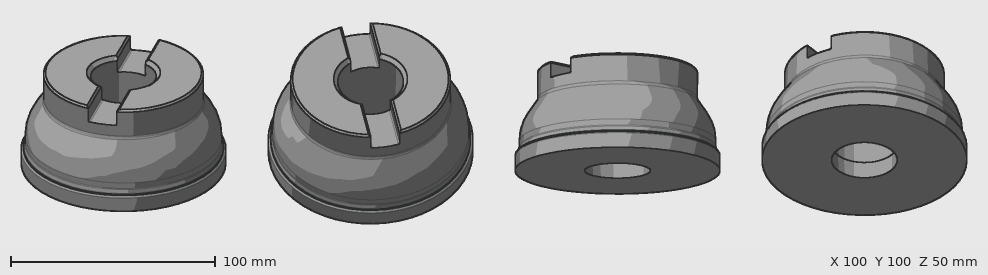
import cadquery as cq
import math

overall_height = 50.0
bore_diameter = 32.0

ring_radius = 50.0
ring_height = 8.8
collar_radius = 48.8
shoulder_height = 8.2
shoulder_round = 0.8

flare_bottom = 9.4
flare_bottom_radius = 48.6
flare_top = 11.2
flare_top_radius = 48.1

skirt_radius = 48.0
skirt_bottom = 11.8
skirt_top = 14.8
dome_middle = 26.4
dome_middle_radius = 44.8
dome_top = 34.2
dome_top_angle = math.radians(32)
neck_radius = 39.0
neck_bottom = 36.0
neck_chamfer = 1.0

slot_width = 14.2
slot_depth = 8.3
slot_corner_radius = 0.7
slot_chamfer = 1.0
bore_mouth_diameter = 36.0
bore_mouth_depth = 2.0


def make_ring():
    """Ring under the housing: rounded shoulder, collar and through bore."""
    bore_radius = bore_diameter / 2
    return (
        cq.Workplane("XZ")
        .moveTo(bore_radius, 0)
        .lineTo(ring_radius, 0)
        .lineTo(ring_radius, shoulder_height - shoulder_round)
        .tangentArcPoint((ring_radius - shoulder_round, shoulder_height), relative=False)
        .lineTo(collar_radius, shoulder_height)
        .lineTo(collar_radius, ring_height)
        .lineTo(bore_radius, ring_height)
        .close()
        .revolve(360, (0, 0), (0, 1))
    )


def make_housing_blank():
    """Solid turned shape of the housing, from the ring to the top face."""
    neck_fillet_radius = (neck_bottom - dome_top) / math.sin(dome_top_angle)
    dome_top_radius = neck_radius + neck_fillet_radius * (1 - math.cos(dome_top_angle))
    dome_top_direction = (-math.sin(dome_top_angle), math.cos(dome_top_angle))
    return (
        cq.Workplane("XZ")
        .moveTo(0, ring_height)
        .lineTo(collar_radius, ring_height)
        .lineTo(flare_bottom_radius, flare_bottom)
        .lineTo(flare_top_radius, flare_top)
        .lineTo(skirt_radius, skirt_bottom)
        .lineTo(skirt_radius, skirt_top)
        .spline(
            [(dome_middle_radius, dome_middle), (dome_top_radius, dome_top)],
            tangents=[(0, 1), dome_top_direction],
            includeCurrent=True,
        )
        .tangentArcPoint((neck_radius, neck_bottom), relative=False)
        .lineTo(neck_radius, overall_height - neck_chamfer)
        .lineTo(neck_radius - neck_chamfer, overall_height)
        .lineTo(0, overall_height)
        .close()
        .revolve(360, (0, 0), (0, 1))
    )


def make_bore():
    """Through bore with a conical mouth at the top."""
    bore_radius = bore_diameter / 2
    outline = [
        (0, 0),
        (bore_radius, 0),
        (bore_radius, overall_height - bore_mouth_depth),
        (bore_mouth_diameter / 2, overall_height),
        (0, overall_height),
    ]
    return cq.Workplane("XZ").polyline(outline).close().revolve(360, (0, 0), (0, 1))


def make_slot():
    """Slot along Y with rounded floor corners and chamfered top edges."""
    half_width = slot_width / 2
    slot_length = 2 * ring_radius
    channel = (
        cq.Workplane("XY")
        .workplane(offset=overall_height - slot_depth)
        .rect(slot_width, slot_length)
        .extrude(slot_depth)
        .edges("|Y and <Z")
        .fillet(slot_corner_radius)
    )
    bevel_outline = [
        (-half_width, overall_height - slot_chamfer),
        (half_width, overall_height - slot_chamfer),
        (half_width + slot_chamfer, overall_height),
        (-half_width - slot_chamfer, overall_height),
    ]
    bevel = cq.Workplane("XZ").polyline(bevel_outline).close().extrude(slot_length / 2, both=True)
    return channel.union(bevel)


ring = make_ring()
housing = make_housing_blank().cut(make_bore()).cut(make_slot())

result = cq.Compound.makeCompound([ring.val(), housing.solids().val()])